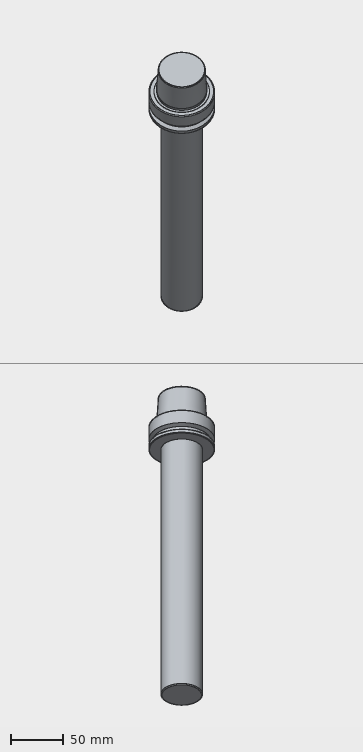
import cadquery as cq

total_length = 332.0
flange_radius = 31.5
shank_radius = 20.0
shank_chamfer = 1.0

cone_length = 32.0
flange_height = 26.0
flange_top = total_length - cone_length
flange_bottom = flange_top - flange_height
flange_top_chamfer = 1.0
flange_bottom_chamfer = 0.5

cone_top_radius = 22.5
cone_base_radius = 24.2
cone_chamfer_width = 0.5
cone_chamfer_height = 1.0
neck_radius = 24.0
neck_height = 2.5
neck_bevel_height = 0.3

recess_radius = 26.5
recess_depth = 0.3

groove_radius = 28.0
groove_floor_bottom = flange_bottom + 6.0
groove_floor_height = 3.3
groove_floor_top = groove_floor_bottom + groove_floor_height
groove_lower_flank = 2.0
groove_upper_flank = 2.0


def make_body():
    """Revolve the shank, flange and spigot about the Z axis."""
    recess_floor = flange_top - recess_depth
    neck_top = flange_top + neck_height
    profile = [
        (0, 0),
        (shank_radius - shank_chamfer, 0),
        (shank_radius, shank_chamfer),
        (shank_radius, flange_bottom),
        (flange_radius - flange_bottom_chamfer, flange_bottom),
        (flange_radius, flange_bottom + flange_bottom_chamfer),
        (flange_radius, flange_top - flange_top_chamfer),
        (flange_radius - flange_top_chamfer, flange_top),
        (recess_radius, flange_top),
        (recess_radius, recess_floor),
        (neck_radius, recess_floor),
        (neck_radius, neck_top - neck_bevel_height),
        (cone_base_radius, neck_top),
        (cone_top_radius, total_length - cone_chamfer_height),
        (cone_top_radius - cone_chamfer_width, total_length),
        (0, total_length),
    ]
    return cq.Workplane("XZ").polyline(profile).close().revolve(360, (0, 0), (0, 1))


def make_groove():
    """Ring with sloping flanks that cuts the gripper groove."""
    profile = [
        (flange_radius, groove_floor_bottom - groove_lower_flank),
        (groove_radius, groove_floor_bottom),
        (groove_radius, groove_floor_top),
        (flange_radius, groove_floor_top + groove_upper_flank),
    ]
    return cq.Workplane("XZ").polyline(profile).close().revolve(360, (0, 0), (0, 1))


result = make_body().cut(make_groove())